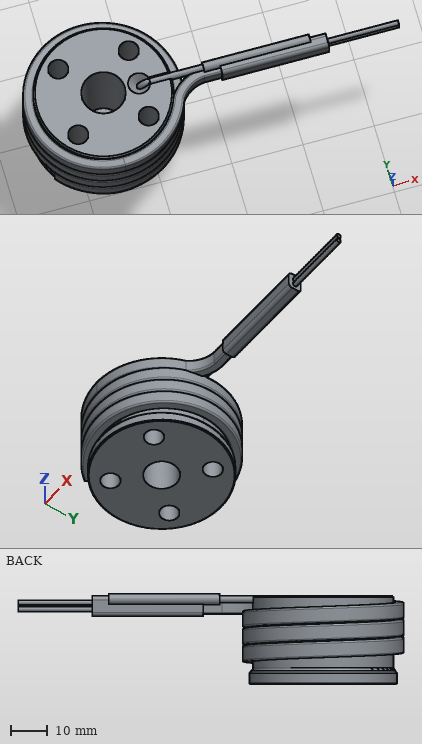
import cadquery as cq
import math

core_radius = 19.0
core_height = 24.0
top_chamfer = 0.5
flange_radius = 20.0
flange_height = 3.5
flange_chamfer = 0.5
foot_chamfer = 0.3
root_fillet = 1.0

bore_top_radius = 6.0
bore_bottom_radius = 5.0
bolt_hole_diameter = 5.5
bolt_circle_diameter = 28.0
bolt_spacing = bolt_circle_diameter / math.sqrt(2)

strip_thickness = 2.85
strip_bite = 0.05
strip_height = 4.4
strip_fillet = 0.5
strip_mid_radius = core_radius - strip_bite + strip_thickness / 2
strip_end_z = 21.2
coil_pitch = 4.7
coil_start_angle = 180.0 + math.degrees(math.atan2(3, 4))
coil_end_angle = 270.0
full_turns = 3
coil_turns = full_turns + (coil_end_angle - coil_start_angle) / 360.0

tail_y = -strip_thickness / 2
tail_start_x = 27.5
tail_bare_length = 5.0
strip_sleeve_length = 30.0
strip_sleeve_wall = 0.6
strip_sleeve_start_x = tail_start_x + tail_bare_length
strip_sleeve_end_x = strip_sleeve_start_x + strip_sleeve_length

wire_diameter = 1.4
wire_spacing = 1.8
wire_length = 20.0

recess_x = 10.0
recess_radius = 3.0
recess_depth = 3.0
cable_radius = 1.0
cable_z = core_height - cable_radius
cable_bend_radius = recess_radius
cable_level_x = recess_x + cable_bend_radius
cable_sleeve_radius = 1.5
cable_sleeve_start_x = 28.0
cable_sleeve_length = 30.0


def polar(radius, angle):
    return radius * math.cos(math.radians(angle)), radius * math.sin(math.radians(angle))


def rod_along_x(radius, start_x, y, z, length):
    return cq.Workplane("YZ", origin=(start_x, y, z)).circle(radius).extrude(length)


def make_core():
    """Turn the drum, then cut the tapered bore, the bolt holes and the sensor recess."""
    fillet_centre_r = core_radius + root_fillet
    fillet_centre_z = flange_height + root_fillet
    chamfer_r = flange_radius - flange_chamfer
    fillet_sweep = math.degrees(math.acos((fillet_centre_r - chamfer_r) / root_fillet))
    fillet_mid_dr, fillet_mid_dz = polar(root_fillet, 180 + fillet_sweep / 2)
    fillet_end_dr, fillet_end_dz = polar(root_fillet, 180 + fillet_sweep)
    profile = (
        cq.Workplane("XZ")
        .moveTo(bore_bottom_radius, 0)
        .lineTo(flange_radius - foot_chamfer, 0)
        .lineTo(flange_radius, foot_chamfer)
        .lineTo(flange_radius, flange_height - flange_chamfer)
        .lineTo(fillet_centre_r + fillet_end_dr, fillet_centre_z + fillet_end_dz)
        .threePointArc(
            (fillet_centre_r + fillet_mid_dr, fillet_centre_z + fillet_mid_dz),
            (core_radius, fillet_centre_z),
        )
        .lineTo(core_radius, core_height - top_chamfer)
        .lineTo(core_radius - top_chamfer, core_height)
        .lineTo(bore_top_radius, core_height)
        .close()
    )
    core = profile.revolve(360, (0, 0, 0), (0, 1, 0))
    bolt_holes = (
        cq.Workplane("XY")
        .rect(bolt_spacing, bolt_spacing, forConstruction=True)
        .vertices()
        .circle(bolt_hole_diameter / 2)
        .extrude(core_height)
    )
    recess_tip = cq.Vector(recess_x, 0, core_height - recess_depth)
    recess = cq.Workplane(cq.Solid.makeCone(0, recess_radius, recess_depth, pnt=recess_tip))
    return core.cut(bolt_holes).cut(recess)


def strip_section():
    return cq.Sketch().rect(strip_thickness, strip_height).vertices().fillet(strip_fillet)


def make_coil():
    """Sweep the strip up its helix, from its lower end to the front of the core (-Y)."""
    rise = coil_turns * coil_pitch
    helix = cq.Workplane(cq.Wire.makeHelix(coil_pitch, rise, strip_mid_radius))
    section_plane = cq.Plane(origin=(strip_mid_radius, 0, 0), xDir=(1, 0, 0), normal=(0, -1, 0))
    coil = cq.Workplane(section_plane).placeSketch(strip_section()).sweep(helix, isFrenet=True)
    return coil.rotate((0, 0, 0), (0, 0, 1), coil_start_angle).translate((0, 0, strip_end_z - rise))


def make_tail():
    """Carry the strip level from the coil's end, through the reverse bend, to the sleeve's end."""
    drop = strip_mid_radius - tail_y
    bend_radius = (tail_start_x**2 + tail_y**2 - strip_mid_radius**2) / (2 * drop)
    bend_centre_y = tail_y - bend_radius
    leave_angle = math.degrees(math.atan2(bend_centre_y, tail_start_x))
    bend_mid_angle = (leave_angle + 180 + 90) / 2
    bend_dx, bend_dy = polar(bend_radius, bend_mid_angle)
    coil_mid_angle = (leave_angle + coil_end_angle - 360) / 2
    path = (
        cq.Workplane("XY", origin=(0, 0, strip_end_z))
        .moveTo(0, -strip_mid_radius)
        .threePointArc(polar(strip_mid_radius, coil_mid_angle), polar(strip_mid_radius, leave_angle))
        .threePointArc((tail_start_x + bend_dx, bend_centre_y + bend_dy), (tail_start_x, tail_y))
        .lineTo(strip_sleeve_end_x, tail_y)
    )
    section_plane = cq.Plane(origin=(0, -strip_mid_radius, strip_end_z), xDir=(0, -1, 0), normal=(1, 0, 0))
    return cq.Workplane(section_plane).placeSketch(strip_section()).sweep(path)


def make_strip_sleeve():
    """Rounded sleeve, an even wall outside the strip."""
    sleeve = (
        cq.Workplane("YZ", origin=(strip_sleeve_start_x, tail_y, strip_end_z))
        .rect(strip_thickness + 2 * strip_sleeve_wall, strip_height + 2 * strip_sleeve_wall)
        .extrude(strip_sleeve_length)
    )
    return sleeve.edges("|X").fillet(strip_fillet + strip_sleeve_wall)


def make_cable():
    """Sweep the cable round its quarter bend in the recess and out to its sleeve."""
    bend_centre_z = cable_z - cable_bend_radius
    mid_dx, mid_dz = polar(cable_bend_radius, 135)
    path = (
        cq.Workplane("XZ")
        .moveTo(recess_x, bend_centre_z)
        .threePointArc((cable_level_x + mid_dx, bend_centre_z + mid_dz), (cable_level_x, cable_z))
        .lineTo(cable_sleeve_start_x, cable_z)
    )
    return cq.Workplane("XY", origin=(recess_x, 0, bend_centre_z)).circle(cable_radius).sweep(path)


def make_cable_slot():
    """Open slot, as wide as the cable, from the recess out through the rim."""
    slot_length = core_radius - cable_level_x
    return (
        cq.Workplane("XY", origin=(cable_level_x + slot_length / 2, 0, cable_z))
        .rect(slot_length, 2 * cable_radius)
        .extrude(core_height - cable_z)
    )


result = make_core().cut(make_cable_slot())
result = result.union(make_coil()).union(make_tail()).union(make_strip_sleeve())
for side in (-1, 1):
    wire_z = strip_end_z + side * wire_spacing / 2
    result = result.union(rod_along_x(wire_diameter / 2, strip_sleeve_end_x, tail_y, wire_z, wire_length))
result = result.union(make_cable())
result = result.union(rod_along_x(cable_sleeve_radius, cable_sleeve_start_x, 0, cable_z, cable_sleeve_length))